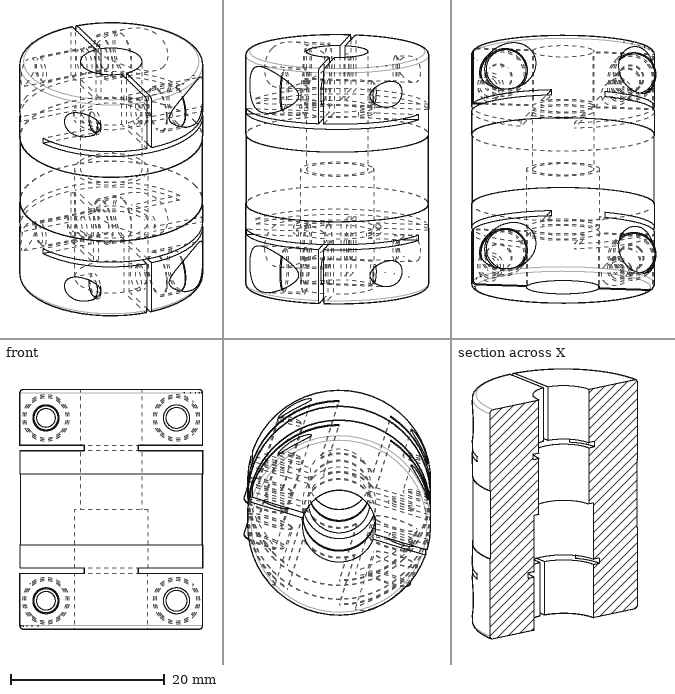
import cadquery as cq

LENGTH = 31.2
BODY_DIAMETER = 23.8
RIM_FILLET = 0.5
WAIST_DIAMETER = 23.68
WAIST_LENGTH = 9.25
HALF_LENGTH = LENGTH / 2
BODY_RADIUS = BODY_DIAMETER / 2

UPPER_BORE_DIAMETER = 8.0
LOWER_BORE_DIAMETER = 9.52
BORE_RELIEF = 0.95

SLIT_WIDTH = 0.7
SLOT_HEIGHT = 0.7
SLOT_INNER_HEIGHT = 7.65
WEB_WIDTH = 7.05
SLOT_CENTER_HEIGHT = SLOT_INNER_HEIGHT + SLOT_HEIGHT / 2

SCREW_OFFSET = 8.5
SCREW_HEIGHT = 11.9
SCREW_HOLE_DIAMETER = 3.4
LEFT_SHANK_DIAMETER = 3.12
RIGHT_SHANK_DIAMETER = SCREW_HOLE_DIAMETER
SCREW_TIP_Y = -6.45
SCREW_TIP_CHAMFER = 0.35
HEAD_DIAMETER = 5.65
HEAD_SEAT_Y = 2.75
HEAD_TOP_Y = 5.6
HEAD_CHAMFER = 0.2
COUNTERBORE_DIAMETER = 6.05


def cylinder_along_y(diameter, x, z, y_start, y_end):
    """Cylinder parallel to Y between two Y positions."""
    return (
        cq.Workplane("XZ", origin=(x, y_start, z))
        .circle(diameter / 2)
        .extrude(y_start - y_end)
    )


def bore(diameter, side):
    """Shaft bore of one end, with an annular relief groove level with the slots."""
    shaft = cq.Workplane("XY").circle(diameter / 2).extrude(side * HALF_LENGTH)
    relief_radius = diameter / 2 + BORE_RELIEF
    relief = cq.Workplane("XY").circle(relief_radius).extrude(SLOT_HEIGHT / 2, both=True)
    return shaft.union(relief.translate((0, 0, side * SLOT_CENTER_HEIGHT)))


def jaw_cuts(side):
    """Slit that splits one end into two jaws, and the slots on either side of the web."""
    jaw_length = HALF_LENGTH - SLOT_INNER_HEIGHT
    slit = cq.Workplane("XY").box(BODY_DIAMETER, SLIT_WIDTH, jaw_length)
    cuts = slit.translate((0, 0, side * (SLOT_INNER_HEIGHT + jaw_length / 2)))
    slot_depth = BODY_RADIUS - WEB_WIDTH / 2
    slot_x = (BODY_RADIUS + WEB_WIDTH / 2) / 2
    for direction in (-1, 1):
        slot = cq.Workplane("XY").box(slot_depth, BODY_DIAMETER, SLOT_HEIGHT)
        cuts = cuts.union(slot.translate((direction * slot_x, 0, side * SLOT_CENTER_HEIGHT)))
    return cuts


def screw_hole(x, z):
    """Through hole with a counterbore for the screw head."""
    hole = cylinder_along_y(SCREW_HOLE_DIAMETER, x, z, -BODY_RADIUS, BODY_RADIUS)
    counterbore = cylinder_along_y(COUNTERBORE_DIAMETER, x, z, HEAD_SEAT_Y, BODY_RADIUS)
    return hole.union(counterbore)


def screw(shank_diameter, x, z):
    """Cap screw seated on the counterbore floor, with chamfered tip and head."""
    shank = cylinder_along_y(shank_diameter, x, z, SCREW_TIP_Y, HEAD_SEAT_Y)
    shank = shank.faces("<Y").chamfer(SCREW_TIP_CHAMFER)
    head = cylinder_along_y(HEAD_DIAMETER, x, z, HEAD_SEAT_Y, HEAD_TOP_Y)
    head = head.faces(">Y").chamfer(HEAD_CHAMFER)
    return shank.union(head)


def outer_body():
    """Round body with filleted rims and a waist turned slightly smaller."""
    cylinder = cq.Workplane("XY", origin=(0, 0, -HALF_LENGTH)).circle(BODY_RADIUS).extrude(LENGTH)
    cylinder = cylinder.faces("<Z or >Z").edges().fillet(RIM_FILLET)
    waist_cut = (
        cq.Workplane("XY", origin=(0, 0, -WAIST_LENGTH / 2))
        .circle(BODY_RADIUS)
        .circle(WAIST_DIAMETER / 2)
        .extrude(WAIST_LENGTH)
    )
    return cylinder.cut(waist_cut)


body = outer_body()
for side, bore_diameter in ((1, UPPER_BORE_DIAMETER), (-1, LOWER_BORE_DIAMETER)):
    body = body.cut(bore(bore_diameter, side)).cut(jaw_cuts(side))
    screw_z = side * SCREW_HEIGHT
    for screw_x, shank_diameter in (
        (-SCREW_OFFSET, LEFT_SHANK_DIAMETER),
        (SCREW_OFFSET, RIGHT_SHANK_DIAMETER),
    ):
        body = body.cut(screw_hole(screw_x, screw_z))
        body = body.union(screw(shank_diameter, screw_x, screw_z))

result = body